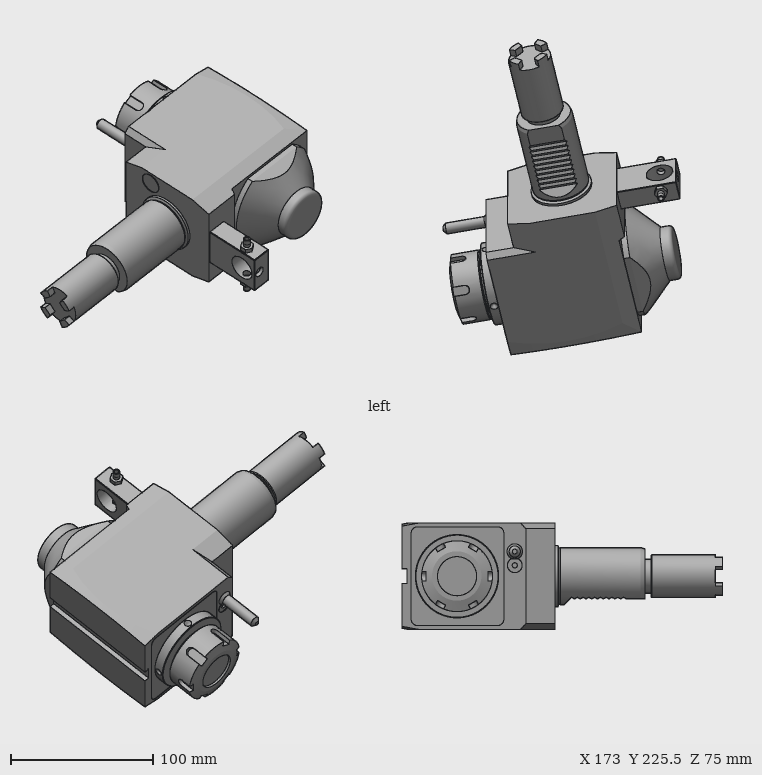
import cadquery as cq
import math


overall_length = 225.5
half_height = 75.0 / 2
back_y = 107.8
left_x = -58.6
right_x = 39.5
upper_right_x = 35.2
right_step_y = 27.0
right_step_run = 2.0
lobe_front_y = 20.5
block_left_x = -38.8
bevel_edge_z = 33.4
front_bevel_run = 4.0
left_bevel_run = 14.9
right_bevel_run = 15.3
crown_center = (-16.2, -15.0)
crown_radius = 118.2
crown_slope = 0.2
back_slot_width = 10.1
back_slot_depth = 3.5

spindle_y = 69.0
pad_back_y = 101.3
pad_front_y = 36.0
pad_half_height = 34.7
pad_corner_radius = 4.5
pad_thickness = 0.2
collar_radius = 29.3
collar_end_x = -66.8
collar_hole_x = -62.7
collar_hole_radius = 2.7
collar_hole_angles = (0, 90, 180, 270)
collar_edge = 0.5
neck_radius = 20.5
nut_radius = 49.8 / 2
nut_back_x = -68.8
nut_front_x = -91.1
nut_bevel = 2.3
nut_edge = 0.7
nut_face_radius = 17.4
nut_bore_radius = 13.8
nut_bore_depth = 1.8
long_slot_angles = (-30, 30)
short_slot_angles = (90, 150, 210, 270)
wrench_slot_width = 6.5
long_slot_end_x = -74.5
short_slot_end_x = -78.0
wrench_slot_floor_radius = 21.7

cap_radius = 40.0
cap_tip_radius = 19.2
cap_tip_start_x = 60.2
cap_end_x = 68.5
cap_edge_radius = 3.0
cap_flat_y = 100.4
cap_roof_z = 32.5
cap_roof_slope = 0.24

pin_y = 28.5
pin_z = 17.4
pin_radius = 8.0 / 2
pin_end_x = -91.0
pin_tip_bevel = 2.3
pin_base_radius = 5.5
pin_base_length = 2.3
screw_z = 7.7
screw_radius = 5.2
screw_socket_radius = 1.8
screw_socket_depth = 2.3
plug_x = -15.8
plug_z = 27.5
plug_radius = 7.7
recess_depth = 0.5

shank_radius = 40.4 / 2
shank_end_y = -63.2
shank_bevel_length = 3.0
shank_bevel_depth = 1.0
flange_radius = 21.7
flange_rim = 1.8
flange_thickness = 2.7
relief_depth = 0.5
relief_length = 1.1
coupling_neck_radius = 24.1 / 2
coupling_radius = 15.0
coupling_edge = 0.7
coupling_start_y = -67.2
coupling_face_y = -112.5
coupling_end_y = back_y - overall_length
lug_inner_radius = 9.7
lug_inner_width = 6.5
lug_outer_width = 9.2
lug_angles = (45, 135, 225, 315)
rack_floor_z = -16.0
rack_start_y = -11.5
rack_pitch = 4.0
rack_tooth_count = 10
rack_tooth_depth = 1.1

coolant_end_x = 81.9
coolant_front_y = 1.1
coolant_back_y = 16.0
coolant_half_height = 15.0
coolant_edge = 0.5
coolant_bore_x = 70.0
coolant_bore_radius = 9.5
nozzle_y = 6.3
nozzle_base_top_z = 18.5
nozzle_top_z = 24.8
nozzle_radius = 4.7 / 2
nozzle_flats = 8.1
nozzle_socket_radius = 1.5
nozzle_socket_depth = 4.5
feed_bore_radius = 2.7
feed_bore_top_z = 13.5
outlet_radius = 3.8


def extruded_outline(points):
    """Prism of full housing height from an outline in XY."""
    return cq.Workplane("XY").polyline(points).close().extrude(half_height, both=True)


def spindle_turning(profile):
    """Solid turned about the spindle axis from (x, radius) points."""
    turned = cq.Workplane("XY").polyline(profile).close().revolve(360, (0, 0), (1, 0))
    return turned.translate((0, spindle_y, 0))


def shank_turning(profile):
    """Solid turned about the Y axis from (radius, y) points."""
    return cq.Workplane("XY").polyline(profile).close().revolve(360, (0, 0), (0, 1))


def x_cylinder(x_start, x_end, y, z, radius):
    return cq.Workplane("YZ", origin=(x_start, y, z)).circle(radius).extrude(x_end - x_start)


def mirrored_outline(upper_points):
    """Outline made symmetric about z = 0 from its upper half."""
    return upper_points + [(a, -z) for a, z in reversed(upper_points)]


def housing():
    lobe_profile = mirrored_outline([
        (lobe_front_y, bevel_edge_z),
        (lobe_front_y + front_bevel_run, half_height),
        (back_y, half_height),
    ])
    lobe = (
        cq.Workplane("YZ", origin=(left_x, 0, 0))
        .polyline(lobe_profile).close().extrude(right_x - left_x)
    )

    block_profile = mirrored_outline([
        (block_left_x, bevel_edge_z),
        (block_left_x + left_bevel_run, half_height),
        (right_x, half_height),
    ])
    block = cq.Workplane("XZ").polyline(block_profile).close().extrude(-lobe_front_y - front_bevel_run)
    body = lobe.union(block)

    right_profile = mirrored_outline([
        (left_x, half_height),
        (right_x - right_bevel_run, half_height),
        (right_x, bevel_edge_z),
    ])
    body = body.intersect(cq.Workplane("XZ").polyline(right_profile).close().extrude(-back_y))

    body = body.cut(extruded_outline([
        (upper_right_x, back_y),
        (upper_right_x, right_step_y + right_step_run),
        (right_x, right_step_y),
        (right_x, back_y),
    ]))

    crown_limit = 2 * crown_radius
    crown_profile = mirrored_outline([
        (crown_radius, half_height),
        (crown_limit, half_height - crown_slope * (crown_limit - crown_radius)),
    ])
    crown = (
        cq.Workplane("XZ")
        .polyline([(0, half_height)] + crown_profile + [(0, -half_height)]).close()
        .revolve(360, (0, 0), (0, 1))
        .translate((crown_center[0], crown_center[1], 0))
    )
    body = body.intersect(crown)

    slot = cq.Workplane("XY").box(right_x - left_x, 2 * back_slot_depth, back_slot_width)
    return body.cut(slot.translate(((left_x + right_x) / 2, back_y, 0)))


def wrench_slot(end_x):
    """Cutter for one round-ended slot in the top of a nut turned about the X axis."""
    round_x = end_x - wrench_slot_width / 2
    base = cq.Workplane("XY", origin=(nut_front_x, 0, wrench_slot_floor_radius))
    straight = base.rect(2 * (round_x - nut_front_x), wrench_slot_width).extrude(nut_radius)
    round_end = base.center(round_x - nut_front_x, 0).circle(wrench_slot_width / 2).extrude(nut_radius)
    return straight.union(round_end)


def spindle_nose():
    pad = (
        cq.Workplane("XY")
        .box(2 * pad_thickness, pad_back_y - pad_front_y, 2 * pad_half_height)
        .edges("|X").fillet(pad_corner_radius)
        .translate((left_x, (pad_back_y + pad_front_y) / 2, 0))
    )
    nose = spindle_turning([
        (left_x, 0),
        (left_x, collar_radius - collar_edge),
        (left_x - collar_edge, collar_radius),
        (collar_end_x + collar_edge, collar_radius),
        (collar_end_x, collar_radius - collar_edge),
        (collar_end_x, neck_radius),
        (nut_back_x, neck_radius),
        (nut_back_x, nut_radius - nut_edge),
        (nut_back_x - nut_edge, nut_radius),
        (nut_front_x + nut_bevel, nut_radius),
        (nut_front_x, nut_face_radius),
        (nut_front_x, nut_bore_radius),
        (nut_front_x + nut_bore_depth, nut_bore_radius),
        (nut_front_x + nut_bore_depth, 0),
    ])

    for angles, end_x in ((long_slot_angles, long_slot_end_x), (short_slot_angles, short_slot_end_x)):
        for angle in angles:
            turned_slot = wrench_slot(end_x).rotate((0, 0, 0), (1, 0, 0), angle)
            nose = nose.cut(turned_slot.translate((0, spindle_y, 0)))

    dimple = cq.Workplane(cq.Solid.makeCone(
        0, 2 * collar_hole_radius, 2 * collar_hole_radius,
        pnt=cq.Vector(collar_hole_x, 0, collar_radius - collar_hole_radius),
        dir=cq.Vector(0, 0, 1),
    ))
    for angle in collar_hole_angles:
        turned_dimple = dimple.rotate((0, 0, 0), (1, 0, 0), angle)
        nose = nose.cut(turned_dimple.translate((0, spindle_y, 0)))
    return pad.union(nose)


def end_cap():
    cap = spindle_turning([
        (upper_right_x, 0),
        (upper_right_x, cap_radius),
        (right_x, cap_radius),
        (cap_tip_start_x, cap_tip_radius),
        (cap_end_x, cap_tip_radius),
        (cap_end_x, 0),
    ])
    cap = cap.faces(">X").edges().fillet(cap_edge_radius)

    envelope_profile = mirrored_outline([
        (upper_right_x, cap_roof_z),
        (right_x, cap_roof_z),
        (cap_end_x, cap_roof_z - cap_roof_slope * (cap_end_x - right_x)),
    ])
    envelope = cq.Workplane("XZ").polyline(envelope_profile).close().extrude(-cap_flat_y)
    return cap.intersect(envelope)


def locating_pin():
    profile = [
        (left_x, 0),
        (left_x, pin_base_radius),
        (left_x - pin_base_length, pin_radius),
        (pin_end_x + pin_tip_bevel, pin_radius),
        (pin_end_x, pin_radius - pin_tip_bevel),
        (pin_end_x, 0),
    ]
    return spindle_turning(profile).translate((0, pin_y - spindle_y, pin_z))


def plug_recesses():
    screw = x_cylinder(left_x, left_x + recess_depth, pin_y, screw_z, screw_radius)
    socket = x_cylinder(left_x, left_x + screw_socket_depth, pin_y, screw_z, screw_socket_radius)
    plug = cq.Workplane("XZ", origin=(plug_x, 0, plug_z)).circle(plug_radius).extrude(-recess_depth)
    return screw.union(socket).union(plug)


def shank():
    body = shank_turning([
        (0, 0),
        (flange_radius, 0),
        (flange_radius, -flange_rim),
        (shank_radius - relief_depth, -flange_thickness),
        (shank_radius, -flange_thickness - relief_length),
        (shank_radius, shank_end_y + shank_bevel_length),
        (shank_radius - shank_bevel_depth, shank_end_y),
        (coupling_neck_radius, shank_end_y),
        (coupling_neck_radius, coupling_start_y),
        (coupling_radius - coupling_edge, coupling_start_y),
        (coupling_radius, coupling_start_y - coupling_edge),
        (coupling_radius, coupling_end_y),
        (0, coupling_end_y),
    ])

    rack_root_z = rack_floor_z + rack_tooth_depth
    runout = flange_radius + rack_root_z
    rack_outline = [(rack_start_y + runout, -flange_radius)]
    for tooth in range(rack_tooth_count):
        root_y = rack_start_y - tooth * rack_pitch
        rack_outline.append((root_y, rack_root_z))
        rack_outline.append((root_y - rack_pitch / 2, rack_floor_z))
    rack_outline += [(shank_end_y, rack_floor_z), (shank_end_y, -flange_radius)]
    rack = cq.Workplane("YZ").polyline(rack_outline).close().extrude(flange_radius, both=True)
    body = body.cut(rack)

    lug_length = coupling_face_y - coupling_end_y
    lug_corner = math.sqrt(coupling_radius ** 2 - (lug_outer_width / 2) ** 2)
    face = cq.Workplane("XZ", origin=(0, coupling_face_y, 0))
    lug = (
        face
        .polyline([
            (lug_inner_radius, -lug_inner_width / 2),
            (lug_corner, -lug_outer_width / 2),
            (2 * coupling_radius, -lug_outer_width / 2),
            (2 * coupling_radius, lug_outer_width / 2),
            (lug_corner, lug_outer_width / 2),
            (lug_inner_radius, lug_inner_width / 2),
        ])
        .close().extrude(lug_length)
    )
    clearance = face.circle(1.5 * coupling_radius).extrude(lug_length)
    for angle in lug_angles:
        clearance = clearance.cut(lug.rotate((0, 0, 0), (0, 1, 0), angle))
    return body.cut(clearance)


def coolant_block():
    length = coolant_end_x - right_x
    depth = coolant_back_y - coolant_front_y
    mid_y = (coolant_front_y + coolant_back_y) / 2
    block = (
        cq.Workplane("XY").box(length, depth, 2 * coolant_half_height)
        .edges(">X or |X").chamfer(coolant_edge)
        .translate(((right_x + coolant_end_x) / 2, mid_y, 0))
    )
    nozzle_corners = nozzle_flats / math.cos(math.pi / 6)
    nozzle_axis = cq.Workplane("XY", origin=(coolant_bore_x, nozzle_y, 0))
    nozzle_bases = nozzle_axis.polygon(6, nozzle_corners).extrude(nozzle_base_top_z, both=True)
    nozzle_tips = nozzle_axis.circle(nozzle_radius).extrude(nozzle_top_z, both=True)
    feed_bore = nozzle_axis.circle(feed_bore_radius).extrude(feed_bore_top_z, both=True)
    tip_socket = (
        nozzle_axis.workplane(offset=nozzle_top_z - nozzle_socket_depth)
        .circle(nozzle_socket_radius).extrude(nozzle_socket_depth)
    )
    cross_bore = (
        cq.Workplane("XZ", origin=(coolant_bore_x, 0, 0))
        .circle(coolant_bore_radius).extrude(-coolant_back_y)
    )
    outlet = x_cylinder(coolant_bore_x, coolant_end_x, nozzle_y, 0, outlet_radius)
    block = block.union(nozzle_bases).union(nozzle_tips)
    for cutter in (tip_socket, tip_socket.mirror("XY"), feed_bore, cross_bore, outlet):
        block = block.cut(cutter)
    return block


result = (
    housing()
    .union(spindle_nose())
    .union(end_cap())
    .union(shank())
    .union(coolant_block())
    .cut(plug_recesses())
    .union(locating_pin())
)